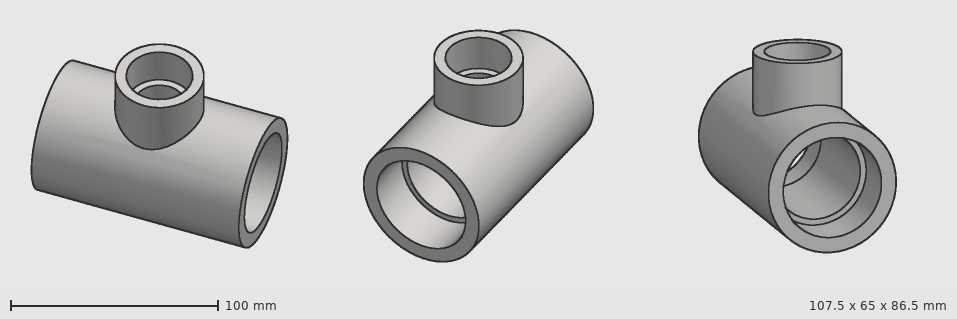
import cadquery as cq

run_length = 107.5
run_outer_diameter = 65.0
run_bore_diameter = 44.0
run_socket_diameter = 50.0
run_socket_depth = 23.5

branch_outer_diameter = 43.0
branch_bore_diameter = 24.6
branch_socket_diameter = 32.0
branch_socket_depth = 19.0
total_height = 86.5
branch_top = total_height - run_outer_diameter / 2


def run_cylinder(diameter, start_x, length):
    """Cylinder on the run axis, extending from start_x toward +X."""
    return cq.Workplane("YZ", origin=(start_x, 0, 0)).circle(diameter / 2).extrude(length)


def branch_cylinder(diameter, start_z, length):
    """Cylinder on the branch axis, extending upward from start_z."""
    return cq.Workplane("XY", origin=(0, 0, start_z)).circle(diameter / 2).extrude(length)


run_start = -run_length / 2
body = run_cylinder(run_outer_diameter, run_start, run_length)
body = body.union(branch_cylinder(branch_outer_diameter, 0, branch_top))

body = body.cut(run_cylinder(run_bore_diameter, run_start, run_length))
body = body.cut(branch_cylinder(branch_bore_diameter, 0, branch_top))

for socket_start in (run_start, run_length / 2 - run_socket_depth):
    body = body.cut(run_cylinder(run_socket_diameter, socket_start, run_socket_depth))
branch_socket_floor = branch_top - branch_socket_depth
body = body.cut(branch_cylinder(branch_socket_diameter, branch_socket_floor, branch_socket_depth))

result = body